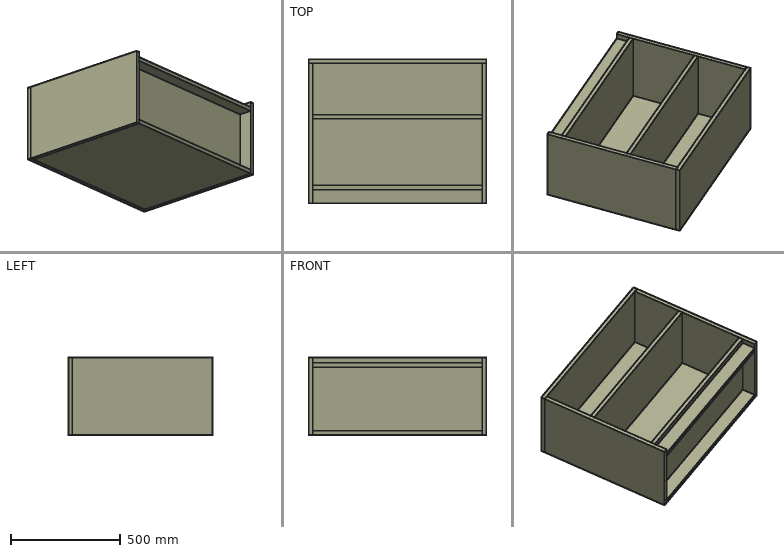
import cadquery as cq

INCH = 25.4

width = 32 * INCH
depth = 26 * INCH
height = 14 * INCH

board = 0.75 * INCH

front_recess = 2.5 * INCH
front_bay = 12 * INCH
rail_drop = 1 * INCH

inner_width = width - 2 * board
side_depth = depth - board
cross_height = height - board
divider_front = front_recess + board + front_bay


def panel(size_x, size_y, size_z, corner):
    """A rectangular board, placed by its left, front, bottom corner."""
    return cq.Workplane("XY").box(size_x, size_y, size_z, centered=False).translate(corner)


def side_panel(left_face):
    """A full-height side that butts against the inner face of the back panel."""
    return panel(board, side_depth, height, (left_face, 0, 0))


def cross_panel(front_face):
    """An upright board between the sides, standing on the bottom panel."""
    return panel(inner_width, board, cross_height, (board, front_face, board))


def make_back_panel():
    """The back, covering the rear ends of both sides and of the bottom."""
    return panel(width, board, height, (0, side_depth, 0))


def make_bottom_panel():
    """The bottom, lying between the sides and in front of the back."""
    return panel(inner_width, side_depth, board, (board, 0, 0))


def make_front_rail():
    """A flat rail between the sides, filling the recess ahead of the front panel."""
    return panel(inner_width, front_recess, board, (board, 0, height - rail_drop - board))


sides = [side_panel(left_face) for left_face in (0, width - board)]
front_panel = cross_panel(front_recess)
divider = cross_panel(divider_front)
back_panel = make_back_panel()
bottom_panel = make_bottom_panel()
front_rail = make_front_rail()

result = cq.Compound.makeCompound(
    [
        *[side.val() for side in sides],
        front_panel.val(),
        divider.val(),
        back_panel.val(),
        bottom_panel.val(),
        front_rail.val(),
    ]
)